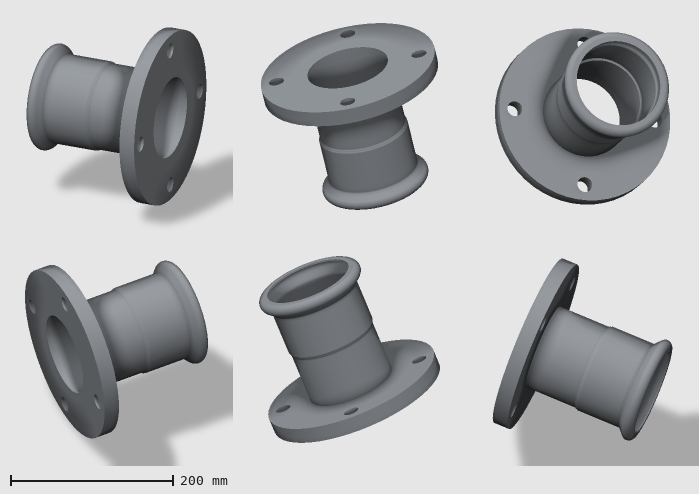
import cadquery as cq
import math

length = 167.0
flange_diameter = 220.0
flange_thickness = 19.8
flange_face = length - flange_thickness

bolt_count = 4
bolt_diameter = 19.0
bolt_circle_diameter = 180.0

socket_radius = 112.0 / 2
neck_radius = 108.0 / 2
wall = 2.2
mouth_radius = socket_radius - wall
bore_radius = 50.8
shoulder_start = 76.3
shoulder_end = 81.8
shoulder_middle = (shoulder_start + shoulder_end) / 2
socket_depth = shoulder_middle
relief_width = 0.7
relief_depth = 0.5

bead_outer_radius = 66.9
bead_tube_radius = 7.5
bead_center_radius = bead_outer_radius - bead_tube_radius
cone_angle = math.radians(47)
cone_blend_radius = 2.5

shoulder_angle = math.radians(40)
shoulder_arc_radius = 2.6


def revolve_about_x(profile):
    return profile.close().revolve(360, (0, 0, 0), (1, 0, 0))


def add_bead(profile, tube_radius, end_radius, blend_radius):
    """Continue a profile over the bead and down its cone, blended into a cylinder."""
    sin_cone = math.sin(cone_angle)
    cos_cone = math.cos(cone_angle)
    cone_start = bead_tube_radius + tube_radius * sin_cone
    cone_start_radius = bead_center_radius + tube_radius * cos_cone
    corner = cone_start + (cone_start_radius - end_radius) / math.tan(cone_angle)
    tangent_length = blend_radius * math.tan(cone_angle / 2)
    blend_end = corner + tangent_length
    half_angle = cone_angle / 2
    return (
        profile
        .threePointArc((bead_tube_radius, bead_center_radius + tube_radius),
                       (cone_start, cone_start_radius))
        .lineTo(corner - tangent_length * cos_cone, end_radius + tangent_length * sin_cone)
        .threePointArc((blend_end - blend_radius * math.sin(half_angle),
                        end_radius + blend_radius * (1 - math.cos(half_angle))),
                       (blend_end, end_radius))
    )


def add_shoulder(profile):
    """Step from the socket down to the neck with two opposite arcs."""
    half_angle = shoulder_angle / 2
    arc_length = shoulder_arc_radius * math.sin(shoulder_angle)
    arc_drop = shoulder_arc_radius * (1 - math.cos(shoulder_angle))
    middle_length = shoulder_arc_radius * math.sin(half_angle)
    middle_drop = shoulder_arc_radius * (1 - math.cos(half_angle))
    return (
        profile
        .lineTo(shoulder_start, socket_radius)
        .threePointArc((shoulder_start + middle_length, socket_radius - middle_drop),
                       (shoulder_start + arc_length, socket_radius - arc_drop))
        .lineTo(shoulder_end - arc_length, neck_radius + arc_drop)
        .threePointArc((shoulder_end - middle_length, neck_radius + middle_drop),
                       (shoulder_end, neck_radius))
    )


def make_tube_and_flange():
    """Solid outside shape with a shallow relief where the neck meets the flange."""
    flange_radius = flange_diameter / 2
    relief_start = flange_face - relief_width
    relief_radius = neck_radius - relief_depth
    profile = cq.Workplane("XY").lineTo(0, bead_center_radius)
    profile = add_bead(profile, bead_tube_radius, socket_radius, cone_blend_radius)
    profile = (
        add_shoulder(profile)
        .lineTo(relief_start, neck_radius)
        .lineTo(relief_start, relief_radius)
        .lineTo(flange_face, relief_radius)
        .lineTo(flange_face, flange_radius)
        .lineTo(length, flange_radius)
        .lineTo(length, 0)
    )
    return revolve_about_x(profile)


def make_bore():
    """Lip, seal groove inside the bead, wide socket and narrower through bore."""
    profile = (
        cq.Workplane("XY")
        .lineTo(0, mouth_radius)
        .lineTo(wall, mouth_radius)
        .lineTo(wall, bead_center_radius)
    )
    profile = add_bead(profile, bead_tube_radius - wall, mouth_radius, cone_blend_radius + wall)
    profile = (
        profile
        .lineTo(socket_depth, mouth_radius)
        .lineTo(socket_depth, bore_radius)
        .lineTo(length, bore_radius)
        .lineTo(length, 0)
    )
    return revolve_about_x(profile)


def make_bolt_holes():
    return (
        cq.Workplane("YZ", origin=(flange_face, 0, 0))
        .polarArray(bolt_circle_diameter / 2, 0, 360, bolt_count)
        .circle(bolt_diameter / 2)
        .extrude(flange_thickness)
    )


result = make_tube_and_flange().cut(make_bore()).cut(make_bolt_holes())